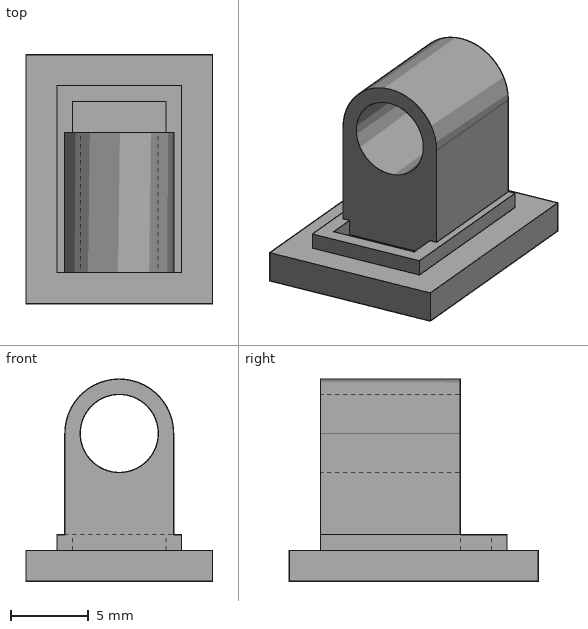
import cadquery as cq

base_width = 12.0
base_length = 16.0
base_thickness = 2.0

rim_width = 8.0
rim_length = 12.0
rim_height = 1.0
rim_wall = 1.0

lug_width = 7.0
lug_length = 9.0
bore_diameter = 5.0
bore_height = 9.5

front_y = -rim_length / 2
lug_radius = lug_width / 2


def make_base():
    return cq.Workplane("XY").box(
        base_width, base_length, base_thickness, centered=(True, True, False)
    )


def make_rim():
    """U-shaped rim: an outer block with a recess that runs out at the front."""
    workplane = cq.Workplane("XY", origin=(0, front_y, base_thickness))
    centering = (True, False, False)
    outer = workplane.box(rim_width, rim_length, rim_height, centered=centering)
    recess = workplane.box(
        rim_width - 2 * rim_wall, rim_length - rim_wall, rim_height, centered=centering
    )
    return outer.cut(recess)


def make_lug():
    """Arched profile extruded towards +Y from the front of the rim."""
    profile = (
        cq.Workplane("XZ", origin=(0, front_y, 0))
        .moveTo(-lug_radius, base_thickness)
        .lineTo(-lug_radius, bore_height)
        .threePointArc((0, bore_height + lug_radius), (lug_radius, bore_height))
        .lineTo(lug_radius, base_thickness)
        .close()
    )
    return profile.extrude(-lug_length)


def make_bore():
    return (
        cq.Workplane("XZ", origin=(0, front_y, 0))
        .center(0, bore_height)
        .circle(bore_diameter / 2)
        .extrude(-lug_length)
    )


result = make_base().union(make_rim()).union(make_lug()).cut(make_bore())